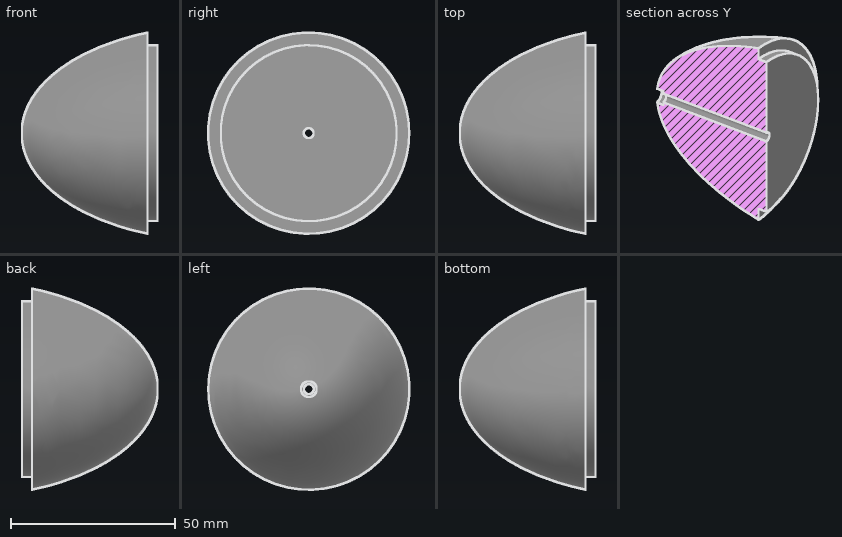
import cadquery as cq
import math

rim_radius = 30.6
ellipse_half_length = 58.7
dome_length = 38.15

spigot_radius = 26.7
spigot_length = 3.0

bore_radius = 2.4
bore_depth = 2.45
hole_radius = 1.45

nose_overhang = 0.2
tip_x = -(dome_length + nose_overhang)
ellipse_center_x = tip_x + ellipse_half_length
rim_fraction = ellipse_center_x / ellipse_half_length
ellipse_half_height = rim_radius / math.sqrt(1 - rim_fraction**2)
rim_angle = math.acos(rim_fraction)


def dome_point(t):
    """Point on the elliptical profile, from the tip (t = 0) to the rim (t = 1)."""
    angle = t * rim_angle
    x = ellipse_center_x - ellipse_half_length * math.cos(angle)
    return x, ellipse_half_height * math.sin(angle)


def make_body():
    profile = (
        cq.Workplane("XY")
        .parametricCurve(dome_point, N=40, makeWire=False)
        .lineTo(0, spigot_radius)
        .lineTo(spigot_length, spigot_radius)
        .lineTo(spigot_length, 0)
        .close()
    )
    return profile.revolve(360, (0, 0, 0), (1, 0, 0))


def axial_cylinder(radius, start_x, end_x):
    return cq.Workplane("YZ", origin=(start_x, 0, 0)).circle(radius).extrude(end_x - start_x)


counterbore = axial_cylinder(bore_radius, tip_x, bore_depth - dome_length)
through_hole = axial_cylinder(hole_radius, tip_x, spigot_length)

result = make_body().cut(counterbore).cut(through_hole)